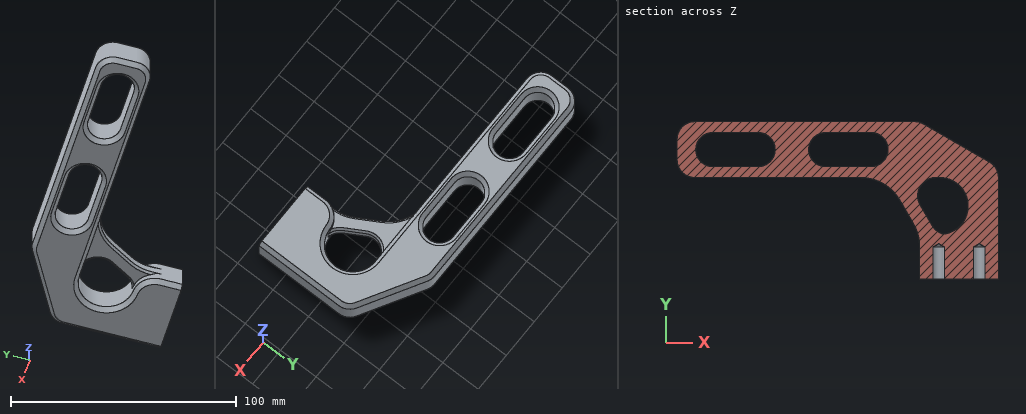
import cadquery as cq
import math

length = 142.5
width = 70.0
thickness = 16.0
edge_chamfer = 2.0
chamfer_angle = 45
corner_radius = 8.0

arm_width = 25.0
slot_length = 35.0
slot_width = 15.0
slot_pitch = 50.0
slot_end_margin = 8.4
slot_count = 2

hub_width = 35.0
slope_angle = math.radians(30)

notch_radius = 12.5
notch_offset = 9.0
hub_corner_radius = 10.0

brace_thickness = 6.0
brace_chamfer = 1.0
brace_band = 6.8
brace_angle = math.radians(60)
brace_outer_radius = 20.0
window_radius = 8.0
brace_overlap = 4.3

hole_diameter = 5.0
hole_pitch = 18.0
hole_depth = 14.2
drill_tip_angle = math.radians(118)

hub_left = length - hub_width
arm_bottom = width - arm_width
notch_x = hub_left + notch_offset
notch_y = arm_bottom - notch_radius
notch_bottom = notch_y - notch_radius
hub_corner_x = hub_left + hub_corner_radius
center_distance = notch_radius + hub_corner_radius
hub_corner_y = notch_y - math.sqrt(center_distance**2 - (hub_corner_x - notch_x) ** 2)


def make_body():
    """Arm and hub in one plate, chamfered all round except at the hub end face."""
    slope_drop = hub_width * math.tan(slope_angle)
    tangent_angle = math.asin((hub_corner_x - notch_x) / center_distance)
    corner_start = (
        notch_x + notch_radius * math.sin(tangent_angle),
        notch_y - notch_radius * math.cos(tangent_angle),
    )
    plate = (
        cq.Workplane("XY")
        .workplane(offset=-thickness / 2)
        .moveTo(0, arm_bottom)
        .lineTo(notch_x, arm_bottom)
        .threePointArc((notch_x + notch_radius, notch_y), corner_start)
        .tangentArcPoint((hub_left, hub_corner_y), relative=False)
        .lineTo(hub_left, 0)
        .lineTo(length, 0)
        .lineTo(length, width - slope_drop)
        .lineTo(hub_left, width)
        .lineTo(0, width)
        .close()
        .extrude(thickness)
    )
    corners = plate.edges("|Z").edges("<X").vals()
    for slope_end in ((hub_left, width, 0), (length, width - slope_drop, 0)):
        corners += plate.edges(cq.selectors.NearestToPointSelector(slope_end)).vals()
    plate = plate.newObject(corners).fillet(corner_radius)
    return plate.faces("|Z").edges("not <Y").chamfer(edge_chamfer)


def make_slot(center_x):
    """Cutter for a through slot, flared by the edge chamfer at both faces."""
    center_y = width - arm_width / 2
    half = thickness / 2
    cutter = cq.Workplane("XY").center(center_x, center_y).slot2D(slot_length, slot_width)
    cutter = cutter.extrude(half, both=True)
    flare_length = slot_length + 2 * edge_chamfer
    flare_width = slot_width + 2 * edge_chamfer
    for side in (1, -1):
        flare = (
            cq.Workplane("XY", origin=(center_x, center_y, side * half))
            .slot2D(flare_length, flare_width)
            .extrude(-side * edge_chamfer, taper=chamfer_angle)
        )
        cutter = cutter.union(flare)
    return cutter


def make_brace():
    """Thin C-shaped plate whose ends are buried in the arm and the hub."""
    cos_b = math.cos(brace_angle)
    sin_b = math.sin(brace_angle)
    slope = math.tan(brace_angle)

    outer_top_x = hub_left - (arm_bottom - notch_bottom) / slope
    outer_tangent = brace_outer_radius * math.tan(brace_angle / 2)
    hub_tangent = brace_outer_radius * math.tan((math.pi / 2 - brace_angle) / 2)
    arm_start = (outer_top_x - outer_tangent, arm_bottom)
    arm_arc_middle = (
        arm_start[0] + brace_outer_radius * math.sin(brace_angle / 2),
        arm_bottom - brace_outer_radius * (1 - math.cos(brace_angle / 2)),
    )
    slope_start = (outer_top_x + outer_tangent * cos_b, arm_bottom - outer_tangent * sin_b)
    slope_end = (hub_left - hub_tangent * cos_b, notch_bottom + hub_tangent * sin_b)
    hub_end = (hub_left, notch_bottom - hub_tangent)

    window_top_x = outer_top_x + brace_band / sin_b
    window_bottom_x = hub_left + brace_band / sin_b

    right_end = notch_x + notch_radius
    top = arm_bottom + brace_overlap
    bottom = hub_corner_y - brace_overlap
    outline = (
        cq.Workplane("XY")
        .workplane(offset=-brace_thickness / 2)
        .moveTo(arm_start[0], top)
        .lineTo(*arm_start)
        .threePointArc(arm_arc_middle, slope_start)
        .lineTo(*slope_end)
        .tangentArcPoint(hub_end, relative=False)
        .lineTo(hub_left, bottom)
        .lineTo(right_end, bottom)
        .lineTo(right_end, notch_bottom)
        .lineTo(window_bottom_x, notch_bottom)
        .lineTo(window_top_x, arm_bottom)
        .lineTo(right_end, arm_bottom)
        .lineTo(right_end, top)
        .close()
        .extrude(brace_thickness)
    )
    window_corners = []
    for corner in ((window_bottom_x, notch_bottom, 0), (window_top_x, arm_bottom, 0)):
        window_corners += outline.edges(cq.selectors.NearestToPointSelector(corner)).vals()
    plate = outline.newObject(window_corners).fillet(window_radius)
    return plate.faces("|Z").edges().chamfer(brace_chamfer)


def make_hole(center_x):
    """Cutter for a blind drilled hole with a conical tip, entering at the hub end face."""
    radius = hole_diameter / 2
    tip = radius / math.tan(drill_tip_angle / 2)
    return (
        cq.Workplane("XY")
        .moveTo(center_x, 0)
        .lineTo(center_x + radius, 0)
        .lineTo(center_x + radius, hole_depth)
        .lineTo(center_x, hole_depth + tip)
        .close()
        .revolve(360, (center_x, 0, 0), (center_x, 1, 0))
    )


result = make_body().union(make_brace())

for index in range(slot_count):
    slot_x = slot_end_margin + slot_length / 2 + index * slot_pitch
    result = result.cut(make_slot(slot_x))

for side in (-1, 1):
    hole_x = length - hub_width / 2 + side * hole_pitch / 2
    result = result.cut(make_hole(hole_x))